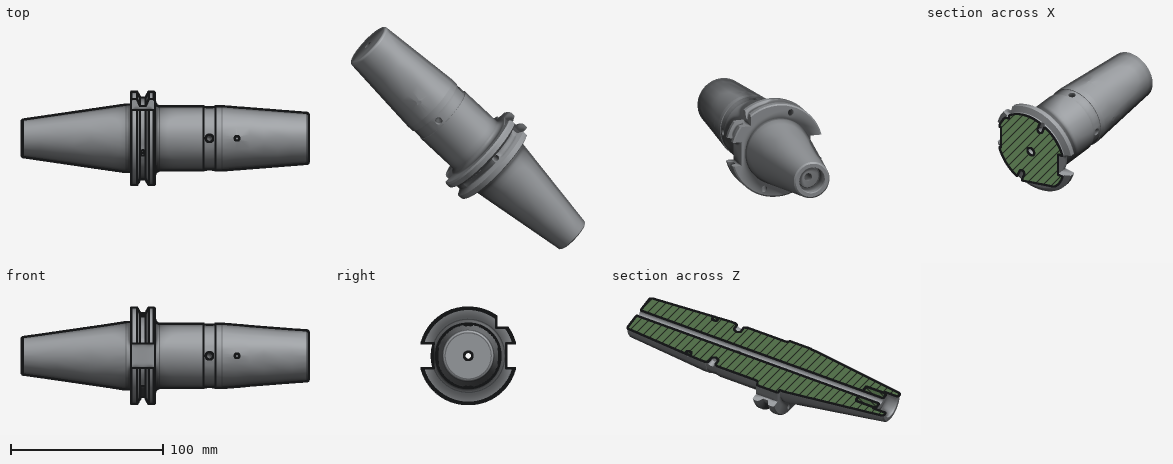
import cadquery as cq
import math

gauge_x = 68.4
flange_start_x = 71.5
flange_end_x = 87.6
groove_mid_x = 79.5
relief_start_x = 119.5
relief_end_x = 127.2
nose_start_x = 131.3
length = 188.4

taper_ratio = 7 / 24
gauge_radius = 22.2
taper_end_radius = gauge_radius - gauge_x * taper_ratio / 2
flange_diameter = 63.5
flange_radius = flange_diameter / 2
body_diameter = 42.4
body_radius = body_diameter / 2
relief_depth = 0.5
relief_radius = body_radius - relief_depth
nose_angle = 4.5
nose_end_radius = body_radius - (length - nose_start_x) * math.tan(math.radians(nose_angle))
taper_end_chamfer_length = 0.8
taper_end_chamfer_height = 1.0
nose_end_fillet = 1.7
flange_front_chamfer_length = 0.5
flange_back_chamfer_length = 1.1
flange_chamfer_height = 1.0
neck_fillet = 2.8

groove_floor_width = 3.5
groove_floor_radius = 28.0
groove_flank_angle = 30.0
groove_flat_width = 3.4
groove_flat_distance = 24.3
groove_flat_angle = 164.7

slot_width = 16.2
deep_slot_floor = 22.8
shallow_slot_floor = 25.0
notch_offset = 18.5

pilot_radius = 8.5
pilot_chamfer_length = 1.1
pilot_chamfer_height = 0.4
pilot_depth = 9.5
screw_radius = 7.3
screw_chamfer = 0.4
screw_start_x = 8.0
screw_length = 15.0
screw_end_x = screw_start_x + screw_length
through_radius = 2.6

coolant_radius = 1.9
coolant_circle_radius = 27.0
coolant_tilt = 30.0
coolant_angles = [20.0, 200.0]

radial_count = 4
radial_angles = [360 / radial_count * i for i in range(radial_count)]
balance_x = 123.2
balance_radius = 2.5
balance_depth = 5.0
drill_tip_angle = 118.0
plug_x = 141.3
plug_radius = 1.5
plug_outer_radius = 20.3
plug_length = 3.0


def turn(profile):
    """Close a half profile drawn in the XY plane and revolve it about X."""
    return profile.close().revolve(360, (0, 0, 0), (1, 0, 0))


def rotate_about_x(body, angle):
    return body.rotate((0, 0, 0), (1, 0, 0), angle)


def turned_blank():
    profile = (
        cq.Workplane("XY")
        .lineTo(0, taper_end_radius - taper_end_chamfer_height)
        .lineTo(taper_end_chamfer_length, taper_end_radius + taper_end_chamfer_length * taper_ratio / 2)
        .lineTo(gauge_x, gauge_radius)
        .lineTo(flange_start_x, gauge_radius)
        .lineTo(flange_start_x, flange_radius - flange_chamfer_height)
        .lineTo(flange_start_x + flange_front_chamfer_length, flange_radius)
        .lineTo(flange_end_x - flange_back_chamfer_length, flange_radius)
        .lineTo(flange_end_x, flange_radius - flange_chamfer_height)
        .lineTo(flange_end_x, body_radius + neck_fillet)
        .radiusArc((flange_end_x + neck_fillet, body_radius), -neck_fillet)
        .lineTo(relief_start_x, body_radius)
        .lineTo(relief_start_x, relief_radius)
        .lineTo(relief_end_x, relief_radius)
        .lineTo(relief_end_x, body_radius)
        .lineTo(nose_start_x, body_radius)
        .lineTo(length, nose_end_radius)
        .lineTo(length, 0)
    )
    return turn(profile).faces(">X").edges().fillet(nose_end_fillet)


def flange_groove():
    half_floor = groove_floor_width / 2
    flank_run = (flange_radius - groove_floor_radius) * math.tan(math.radians(groove_flank_angle))
    half_mouth = half_floor + flank_run
    profile = (
        cq.Workplane("XY")
        .moveTo(groove_mid_x - half_mouth, flange_radius)
        .lineTo(groove_mid_x - half_floor, groove_floor_radius)
        .lineTo(groove_mid_x + half_floor, groove_floor_radius)
        .lineTo(groove_mid_x + half_mouth, flange_radius)
    )
    return turn(profile)


def groove_flat():
    """Block that removes the groove floor outside a plane parallel to the axis."""
    half_chord = math.sqrt(groove_floor_radius**2 - groove_flat_distance**2)
    block = (
        cq.Workplane("XY", origin=(groove_mid_x, 0, groove_flat_distance))
        .rect(groove_flat_width, 2 * half_chord)
        .extrude(groove_floor_radius - groove_flat_distance)
    )
    return rotate_about_x(block, groove_flat_angle)


def flange_cutout(y_range, z_range):
    """Block through the full flange thickness."""
    (y_start, y_end), (z_start, z_end) = y_range, z_range
    size = (flange_end_x - flange_start_x, y_end - y_start, z_end - z_start)
    block = cq.Workplane("XY").box(*size, centered=False)
    return block.translate((flange_start_x, y_start, z_start))


def axial_bore():
    """Pilot bore, screw seat and coolant passage."""
    profile = (
        cq.Workplane("XY")
        .lineTo(0, pilot_radius + pilot_chamfer_height)
        .lineTo(pilot_chamfer_length, pilot_radius)
        .lineTo(pilot_depth, pilot_radius)
        .lineTo(pilot_depth, screw_radius)
        .lineTo(screw_end_x, screw_radius)
        .lineTo(screw_end_x, through_radius)
        .lineTo(length, through_radius)
        .lineTo(length, 0)
    )
    return turn(profile)


def coolant_hole(angle):
    """Hole tilted inward from the flange face to the axis, met by a radial hole from the groove."""
    tilt = math.radians(coolant_tilt)
    tilted_length = coolant_circle_radius / math.sin(tilt)
    entry = cq.Vector(flange_start_x, 0, coolant_circle_radius)
    direction = cq.Vector(math.cos(tilt), 0, -math.sin(tilt))
    lead_in = 2 * coolant_radius
    tilted = cq.Solid.makeCylinder(
        coolant_radius, tilted_length + lead_in, entry - direction * lead_in, direction
    )
    ahead_of_flange = cq.Workplane("YZ").circle(flange_radius).extrude(flange_start_x)
    meeting_radius = coolant_circle_radius - (groove_mid_x - flange_start_x) * math.tan(tilt)
    radial = (
        cq.Workplane("XY", origin=(groove_mid_x, 0, meeting_radius))
        .circle(coolant_radius)
        .extrude(groove_floor_radius - meeting_radius)
    )
    hole = cq.Workplane(obj=tilted).cut(ahead_of_flange).union(radial)
    return rotate_about_x(hole, angle)


def balance_hole(angle):
    """Blind radial hole with a drilled tip."""
    floor_z = relief_radius - balance_depth
    tip_height = balance_radius / math.tan(math.radians(drill_tip_angle / 2))
    hole = (
        cq.Workplane("XZ")
        .moveTo(0, floor_z - tip_height)
        .lineTo(balance_radius, floor_z)
        .lineTo(balance_radius, body_radius)
        .lineTo(0, body_radius)
        .close()
        .revolve(360, (0, 0, 0), (0, 1, 0))
    )
    return rotate_about_x(hole.translate((balance_x, 0, 0)), angle)


def plug_cylinder(outer_radius, angle):
    """Radial cylinder from the plug seat out to the given distance from the axis."""
    seat_radius = plug_outer_radius - plug_length
    cylinder = (
        cq.Workplane("XY", origin=(plug_x, 0, seat_radius))
        .circle(plug_radius)
        .extrude(outer_radius - seat_radius)
    )
    return rotate_about_x(cylinder, angle)


def make_housing():
    slot_range = (-slot_width / 2, slot_width / 2)
    notch_range = (notch_offset, flange_radius)
    housing = turned_blank().cut(flange_groove()).cut(groove_flat()).cut(axial_bore())
    housing = housing.cut(flange_cutout((-flange_radius, -deep_slot_floor), slot_range))
    housing = housing.cut(flange_cutout((shallow_slot_floor, flange_radius), slot_range))
    housing = housing.cut(flange_cutout(notch_range, notch_range))
    for angle in coolant_angles:
        housing = housing.cut(coolant_hole(angle))
    for angle in radial_angles:
        housing = housing.cut(balance_hole(angle))
        housing = housing.cut(plug_cylinder(body_radius, angle))
    return housing


def make_screw():
    """Screw with a coolant passage, its chamfered end standing in the pilot bore."""
    screw = cq.Workplane("YZ", origin=(screw_start_x, 0, 0)).circle(screw_radius).extrude(screw_length)
    screw = screw.faces("<X").edges().chamfer(screw_chamfer)
    return screw.faces("<X").workplane().circle(through_radius).cutThruAll()


housing = make_housing()
screw = make_screw()
plugs = [plug_cylinder(plug_outer_radius, angle).val() for angle in radial_angles]

result = cq.Compound.makeCompound([housing.val(), screw.val(), *plugs])